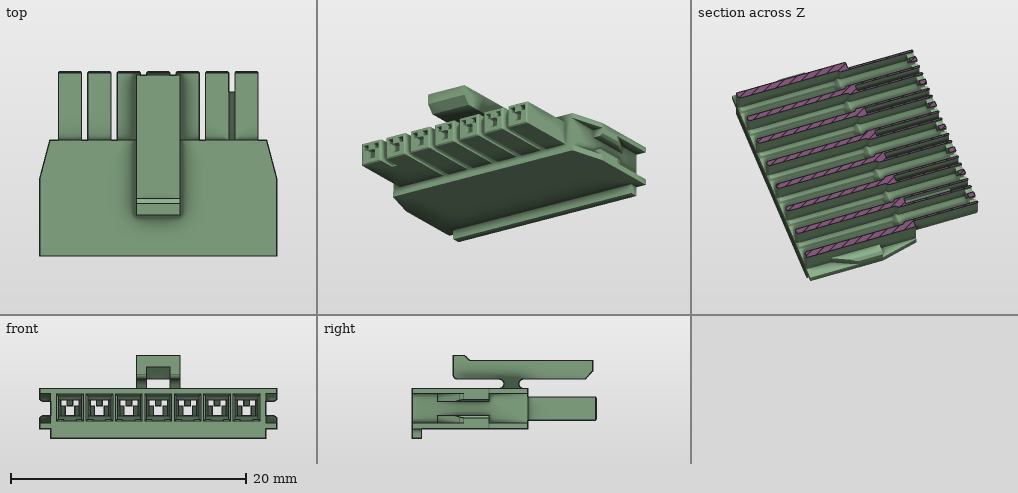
import cadquery as cq


width = 20.2
body_length = 9.85
body_height = 3.43
core_width = 18.3
top_flange = 0.45
bottom_flange = 0.5
taper_start = 6.56
taper_inset = 0.87
lip_length = 0.8
lip_drop = 0.8

contact_count = 7
pitch = 2.5
total_length = 15.7
tower_size = 1.98
tower_bottom = 0.73
tower_chamfer = 0.1

rib_end = 13.98
rib_height = tower_size / 2

hook_height = 1.11
hook_chamfer_width = 0.25
hook_chamfer_height = 0.18
hook_bend_start = 4.38
hook_bend_end = 4.02
hook_bend_inset = 0.1
hook_front = 2.18

mouth_width = 2.28
mouth_height = 2.32
mouth_bottom = 0.65
mouth_chamfer = 0.16
cavity_width = mouth_width - 2 * mouth_chamfer
cavity_bottom = mouth_bottom + mouth_chamfer
cavity_top = mouth_bottom + mouth_height - mouth_chamfer
cavity_end = 8.89
passage_width = 1.54
passage_bottom = 1.1
passage_top = 2.45
end_wall = 0.6
groove_top_width = 1.17
groove_bottom_width = 0.93

slot_width = 0.79
slot_sill = 0.06
slot_bottom = passage_bottom + slot_sill
window_bottom = 1.95
key_width = 0.5

latch_width = 3.74
latch_front = 3.5
latch_back = 15.4
latch_underside = 0.79
latch_back_face_bottom = 1.5
latch_back_bevel = 0.67
latch_top = 2.38
catch_top = 2.8
catch_edge = 4.48
catch_slope_end = 4.9
latch_nose_radius = 0.4
neck_front = 7.82
neck_back = 9.1
neck_radius = latch_underside / 2
channel_width = 1.95
channel_top = 1.82


def box(x_mid, x_size, y0, y1, z0, z1):
    """Box centred on x_mid, between the given Y and Z limits."""
    return cq.Workplane("XY").box(x_size, y1 - y0, z1 - z0, centered=(True, False, False)).translate(
        (x_mid, y0, z0)
    )


def make_flange(thickness):
    """Full-width plate, narrowed toward the mating side."""
    half = width / 2
    right_edge = [(half, 0), (half, taper_start), (half - taper_inset, body_length)]
    left_edge = [(-x, y) for x, y in reversed(right_edge)]
    return cq.Workplane("XY").polyline(right_edge + left_edge).close().extrude(thickness)


def make_bottom_hook():
    """Hook on the bottom flange at +X: flat outside, ramped down to the core at the front."""
    half = width / 2
    core = core_width / 2
    hook = (
        cq.Workplane("XY")
        .polyline(
            [
                (core, taper_start),
                (half, taper_start),
                (half, hook_bend_start),
                (half - hook_bend_inset, hook_bend_end),
                (core, hook_front),
            ]
        )
        .close()
        .extrude(hook_height)
    )
    bevel = (
        cq.Workplane("XZ")
        .polyline(
            [
                (half - hook_chamfer_width, hook_height),
                (half, hook_height),
                (half, hook_height - hook_chamfer_height),
            ]
        )
        .close()
        .extrude(-taper_start)
    )
    return hook.cut(bevel)


def make_housing():
    """Core with a flange above and below, four side hooks and a front lip."""
    housing = box(0, core_width, 0, body_length, 0, body_height)
    housing = housing.union(make_flange(bottom_flange))
    housing = housing.union(make_flange(top_flange).translate((0, 0, body_height - top_flange)))
    bottom_hook = make_bottom_hook()
    top_hook = bottom_hook.mirror("XY").translate((0, 0, body_height))
    for hook in (bottom_hook, top_hook):
        housing = housing.union(hook).union(hook.mirror("YZ"))
    return housing.union(box(0, core_width, 0, lip_length, -lip_drop, bottom_flange))


def make_tower(x):
    """Square contact tower, bevelled around its free end."""
    tower = box(x, tower_size, body_length, total_length, tower_bottom, tower_bottom + tower_size)
    return tower.faces(">Y").chamfer(tower_chamfer)


def make_mouth(x):
    """Bevelled entry of a cavity."""
    return (
        cq.Workplane("XZ", origin=(x, 0, mouth_bottom + mouth_height / 2))
        .rect(mouth_width, mouth_height)
        .workplane(offset=-mouth_chamfer)
        .rect(cavity_width, mouth_height - 2 * mouth_chamfer)
        .loft(ruled=True)
    )


def make_chamber(x):
    """Main chamber of a cavity, its floor ending in a 45 degree ramp up to the passage."""
    ramp_start = cavity_end - (passage_bottom - cavity_bottom)
    return (
        cq.Workplane("YZ", origin=(x, 0, 0))
        .polyline(
            [
                (0, cavity_bottom),
                (ramp_start, cavity_bottom),
                (cavity_end, passage_bottom),
                (cavity_end, cavity_top),
                (0, cavity_top),
            ]
        )
        .close()
        .extrude(cavity_width / 2, both=True)
    )


def make_groove(x):
    """Groove with sloping sides along the chamber floor, its end in line with the floor ramp."""
    top = groove_top_width / 2
    bottom = groove_bottom_width / 2
    top_end = cavity_end - (passage_bottom - cavity_bottom)
    bottom_end = top_end - mouth_chamfer
    section = [
        (-bottom, mouth_bottom),
        (bottom, mouth_bottom),
        (top, cavity_bottom),
        (-top, cavity_bottom),
    ]
    groove = cq.Workplane("XZ", origin=(x, 0, 0)).polyline(section).close().extrude(-top_end)
    ramp = (
        cq.Workplane("YZ", origin=(x, 0, 0))
        .polyline([(bottom_end, mouth_bottom), (top_end, mouth_bottom), (top_end, cavity_bottom)])
        .close()
        .extrude(top, both=True)
    )
    return groove.cut(ramp)


def make_passage(x):
    """Narrow passage through the tower, funnelled at 45 degrees from the chamber width."""
    wide = cavity_width / 2
    narrow = passage_width / 2
    funnel_end = cavity_end + wide - narrow
    passage_end = total_length - end_wall
    right_edge = [(wide, cavity_end), (narrow, funnel_end), (narrow, passage_end)]
    left_edge = [(-px, py) for px, py in reversed(right_edge)]
    return (
        cq.Workplane("XY", origin=(x, 0, passage_bottom))
        .polyline(right_edge + left_edge)
        .close()
        .extrude(passage_top - passage_bottom)
    )


def make_end_openings(x):
    """Slot and two upper windows in the end wall, leaving a key hanging between the windows."""
    wall_start = total_length - end_wall
    slot = box(x, slot_width, wall_start, total_length, slot_bottom, window_bottom)
    window = box(x, passage_width, wall_start, total_length, window_bottom, passage_top)
    key = box(x, key_width, wall_start, total_length, window_bottom, passage_top)
    return slot.union(window.cut(key))


def make_latch():
    """Lever on a waisted neck, hollowed underneath between its two side walls."""
    side = (
        cq.Workplane("YZ")
        .moveTo(neck_front - neck_radius, 0)
        .threePointArc((neck_front, neck_radius), (neck_front - neck_radius, latch_underside))
        .lineTo(latch_front + latch_nose_radius, latch_underside)
        .radiusArc((latch_front, latch_underside + latch_nose_radius), latch_nose_radius)
        .lineTo(latch_front, catch_top)
        .lineTo(catch_edge, catch_top)
        .lineTo(catch_slope_end, latch_top)
        .lineTo(latch_back, latch_top)
        .lineTo(latch_back, latch_back_face_bottom)
        .lineTo(latch_back - latch_back_bevel, latch_underside)
        .lineTo(neck_back + neck_radius, latch_underside)
        .threePointArc((neck_back, neck_radius), (neck_back + neck_radius, 0))
        .close()
        .extrude(latch_width / 2, both=True)
    )
    channel = box(0, channel_width, latch_front, neck_front, 0, channel_top)
    neck_gap = box(0, channel_width, latch_front, latch_back, 0, latch_underside)
    return side.cut(channel).cut(neck_gap).translate((0, 0, body_height))


contact_positions = [(i - (contact_count - 1) / 2) * pitch for i in range(contact_count)]

result = make_housing()
for x in contact_positions:
    result = result.union(make_tower(x))

rib_x = (contact_positions[-2] + contact_positions[-1]) / 2
rib_width = pitch - tower_size
result = result.union(box(rib_x, rib_width, body_length, rib_end, tower_bottom, tower_bottom + rib_height))

for x in contact_positions:
    for make_cut in (make_mouth, make_chamber, make_groove, make_passage, make_end_openings):
        result = result.cut(make_cut(x))

result = result.union(make_latch())